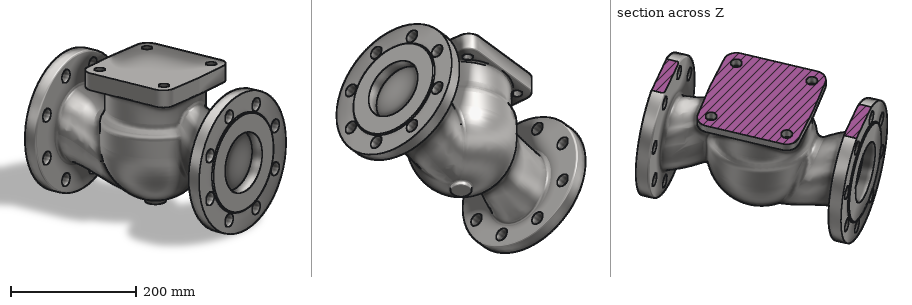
import cadquery as cq
import math

face_to_face = 350.0
cover_top_z = 125.87

flange_diameter = 235.0
flange_thickness = 22.2
raised_face_height = 2.0
raised_face_diameter = 162.0
raised_face_root_diameter = raised_face_diameter + 2 * raised_face_height
port_diameter = 100.0
port_depth = 20.0
flange_bolt_circle = 190.0
flange_bolt_count = 8
flange_bolt_diameter = 22.0

cover_width = 175.0
cover_thickness = 30.0
cover_middle_half_length = 87.5
cover_corner_half_length = 84.8
cover_corner_radius = 21.0
cover_bolt_circle = 180.0
cover_bolt_diameter = 17.29

neck_radius = 81.0
body_radius = 89.0
neck_bottom_z = 56.5
shoulder_bottom_z = 29.8
shoulder_convex_share = 0.4
bowl_center_z = 1.0
bowl_depth = 98.0
plug_diameter = 34.0
plug_bottom_z = -103.0
plug_length = 12.0

casting_fillet = 3.0
plug_rim_fillet = 2.0
flange_root_fillet = 6.0
inlet_root_fillet = 10.0
outlet_root_fillet = 8.0

tolerance = 0.1

flange_front_x = face_to_face / 2 - raised_face_height
flange_back_x = flange_front_x - flange_thickness
cover_bottom_z = cover_top_z - cover_thickness

inlet_sections = [
    (-flange_back_x, -2.0, 62.5, 62.5),
    (-118.0, -10.5, 59.5, 59.5),
    (-83.0, -28.0, 55.5, 53.0),
    (-15.0, -52.5, 42.0, 43.0),
]
outlet_sections = [
    (flange_back_x, -13.5, 59.5, 64.0),
    (115.0, -0.5, 52.0, 61.5),
    (60.0, 35.0, 37.5, 59.5),
]


def make_pipe(sections):
    """Smooth solid through upright elliptical sections along X."""
    wires = []
    for x, center_z, half_width, half_height in sections:
        plane = cq.Plane(origin=(x, 0, center_z), xDir=(0, -1, 0), normal=(1, 0, 0))
        wires.append(cq.Workplane(plane).ellipse(half_width, half_height).wires().val())
    return cq.Workplane(cq.Solid.makeLoft(wires))


def make_body():
    """Revolved casting; the shoulder is two tangent arcs, convex then concave."""
    step = body_radius - neck_radius
    rise = neck_bottom_z - shoulder_bottom_z
    turn = 2 * math.atan(step / rise)
    convex_radius = shoulder_convex_share * rise / math.sin(turn)
    concave_radius = (1 - shoulder_convex_share) * rise / math.sin(turn)

    def convex_point(angle):
        r = body_radius - convex_radius * (1 - math.cos(angle))
        return r, shoulder_bottom_z + convex_radius * math.sin(angle)

    def concave_point(angle):
        r = neck_radius + concave_radius * (1 - math.cos(angle))
        return r, neck_bottom_z - concave_radius * math.sin(angle)

    profile = (
        cq.Workplane("XZ")
        .moveTo(0, bowl_center_z - bowl_depth)
        .ellipseArc(body_radius, bowl_depth, -90, 0, startAtCurrent=True)
        .lineTo(body_radius, shoulder_bottom_z)
        .threePointArc(convex_point(turn / 2), convex_point(turn))
        .threePointArc(concave_point(turn / 2), (neck_radius, neck_bottom_z))
        .lineTo(neck_radius, cover_bottom_z)
        .lineTo(0, cover_bottom_z)
        .close()
    )
    return profile.revolve(360, (0, 0, 0), (0, 1, 0))


def make_cover():
    """Rounded plate whose two X sides come to a shallow ridge at Y = 0."""
    half_width = cover_width / 2
    outline = [
        (-cover_corner_half_length, -half_width),
        (cover_corner_half_length, -half_width),
        (cover_middle_half_length, 0),
        (cover_corner_half_length, half_width),
        (-cover_corner_half_length, half_width),
        (-cover_middle_half_length, 0),
    ]
    plate = (
        cq.Workplane("XY", origin=(0, 0, cover_bottom_z))
        .polyline(outline)
        .close()
        .extrude(cover_thickness)
    )
    plate = plate.edges("|Z").edges(">Y or <Y").fillet(cover_corner_radius)
    return plate.faces("<Z").edges().fillet(casting_fillet)


def make_flange():
    """Flange on the +X end, without its holes."""
    disc = (
        cq.Workplane("YZ", origin=(flange_back_x, 0, 0))
        .circle(flange_diameter / 2)
        .extrude(flange_thickness)
        .faces("<X")
        .edges()
        .fillet(casting_fillet)
    )
    raised_face = (
        cq.Workplane("YZ", origin=(flange_front_x, 0, 0))
        .circle(raised_face_root_diameter / 2)
        .workplane(offset=raised_face_height)
        .circle(raised_face_diameter / 2)
        .loft()
    )
    return disc.union(raised_face)


def make_flange_holes():
    """Blind port and bolt holes of the +X flange."""
    port = (
        cq.Workplane("YZ", origin=(face_to_face / 2 - port_depth, 0, 0))
        .circle(port_diameter / 2)
        .extrude(port_depth)
    )
    bolts = (
        cq.Workplane("YZ", origin=(flange_back_x, 0, 0))
        .polarArray(flange_bolt_circle / 2, 180 / flange_bolt_count, 360, flange_bolt_count)
        .circle(flange_bolt_diameter / 2)
        .extrude(flange_thickness)
    )
    return port.union(bolts)


def make_cover_holes():
    """Four bolt holes through the corners of the cover."""
    spacing = cover_bolt_circle / math.sqrt(2)
    return (
        cq.Workplane("XY", origin=(0, 0, cover_bottom_z))
        .rect(spacing, spacing, forConstruction=True)
        .vertices()
        .circle(cover_bolt_diameter / 2)
        .extrude(cover_thickness)
    )


def join_pipe(part, pipe, root_fillet):
    """Union a pipe to the part and round the freeform seam they share."""
    pipe_box = pipe.val().BoundingBox()
    side = math.copysign(1, pipe_box.center.x)

    def on_seam(edge):
        """True on the pipe's side of the body and clear of its flange end."""
        box = edge.BoundingBox()
        same_side = side * box.xmin > 0 and side * box.xmax > 0
        return same_side and max(abs(box.xmin), abs(box.xmax)) < flange_back_x - tolerance

    joined = part.union(pipe)
    return joined.edges("%BSPLINE").filter(on_seam).fillet(root_fillet)


def round_pipe_ends(part):
    """Fillet both pipes into the backs of their flanges."""

    def on_flange_back(edge):
        box = edge.BoundingBox()
        return min(abs(box.xmin), abs(box.xmax)) > flange_back_x - tolerance

    return part.edges("%BSPLINE").filter(on_flange_back).fillet(flange_root_fillet)


def add_plug(part):
    """Round boss under the bowl, with a rounded rim and a fillet where it meets the bowl."""
    plug = (
        cq.Workplane("XY", origin=(0, 0, plug_bottom_z))
        .circle(plug_diameter / 2)
        .extrude(plug_length)
        .faces("<Z")
        .edges()
        .fillet(plug_rim_fillet)
    )
    seam_zone = cq.selectors.BoxSelector(
        (-plug_diameter, -plug_diameter, plug_bottom_z + plug_rim_fillet + tolerance),
        (plug_diameter, plug_diameter, plug_bottom_z + plug_length),
        boundingbox=True,
    )
    return part.union(plug).edges(seam_zone).fillet(casting_fillet)


neck_seam = cq.selectors.NearestToPointSelector((0, 0, cover_bottom_z))
result = make_body().union(make_cover()).edges(neck_seam).fillet(casting_fillet)
result = join_pipe(result, make_pipe(inlet_sections), inlet_root_fillet)
result = join_pipe(result, make_pipe(outlet_sections), outlet_root_fillet)
result = add_plug(result)

flange = make_flange()
result = result.union(flange).union(flange.mirror("YZ"))
result = round_pipe_ends(result)
flange_holes = make_flange_holes()
result = result.cut(flange_holes).cut(flange_holes.mirror("YZ")).cut(make_cover_holes())